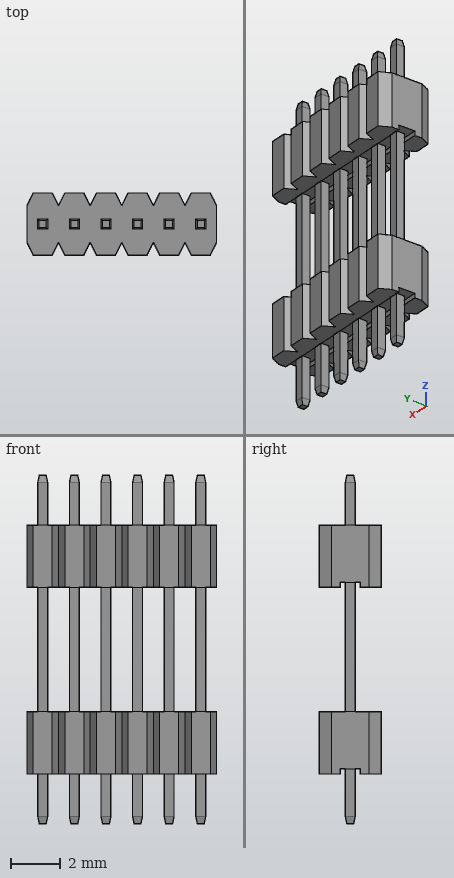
import cadquery as cq


pin_count = 6
pin_length = 14.0
pin_width = 0.4
tip_width = 0.28
tip_height = 0.3

row_length = 7.62
strip_width = 2.5
strip_height = 2.5
pin_overhang = 2.0
corner_along_row = 0.25
corner_across_row = 0.5

channel_width = 0.8
channel_depth = 0.21

pitch = row_length / pin_count
lower_strip_base = -pin_length / 2 + pin_overhang
upper_strip_base = pin_length / 2 - pin_overhang - strip_height
pin_positions = [(i - (pin_count - 1) / 2) * pitch for i in range(pin_count)]


def make_cell(x, base):
    """One eight-sided insulator cell centred on the pin at x."""
    half_x = pitch / 2
    half_y = strip_width / 2
    flat_x = half_x - corner_along_row
    flat_y = half_y - corner_across_row
    outline = [
        (half_x, -flat_y),
        (half_x, flat_y),
        (flat_x, half_y),
        (-flat_x, half_y),
        (-half_x, flat_y),
        (-half_x, -flat_y),
        (-flat_x, -half_y),
        (flat_x, -half_y),
    ]
    plane = cq.Workplane("XY", origin=(x, 0, base))
    return plane.polyline(outline).close().extrude(strip_height)


def make_strip(base):
    """A row of joined cells with a channel running along the underside."""
    strip = make_cell(pin_positions[0], base)
    for x in pin_positions[1:]:
        strip = strip.union(make_cell(x, base))
    channel = (
        cq.Workplane("XY", origin=(0, 0, base))
        .box(row_length, channel_width, channel_depth, centered=(True, True, False))
    )
    return strip.cut(channel)


def make_tip():
    """Tapered upper end of a pin at the origin."""
    return (
        cq.Workplane("XY", origin=(0, 0, pin_length / 2 - tip_height))
        .rect(pin_width, pin_width)
        .workplane(offset=tip_height)
        .rect(tip_width, tip_width)
        .loft(ruled=True)
    )


def make_pin(x):
    """A square pin with a tapered tip at both ends."""
    shaft = cq.Workplane("XY").box(pin_width, pin_width, pin_length - 2 * tip_height)
    upper_tip = make_tip()
    lower_tip = upper_tip.mirror("XY")
    return shaft.union(upper_tip).union(lower_tip).translate((x, 0, 0))


result = make_strip(lower_strip_base).union(make_strip(upper_strip_base))
for pin_x in pin_positions:
    result = result.union(make_pin(pin_x))